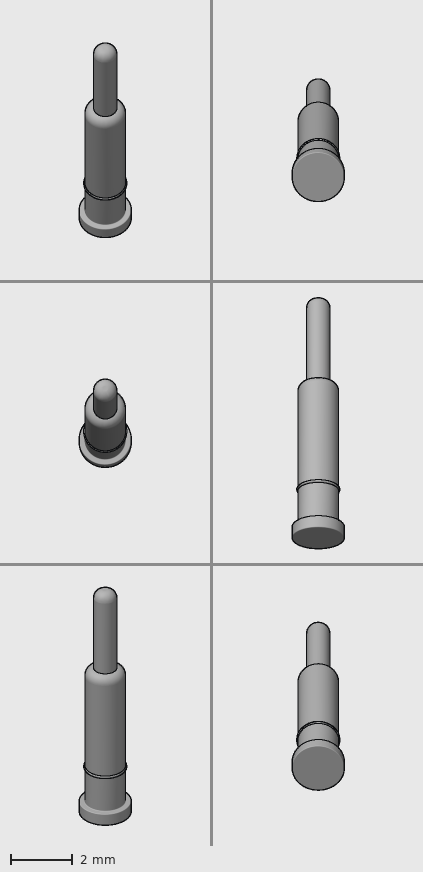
import cadquery as cq

total_height = 8.48

flange_diameter = 1.7
flange_height = 0.42
flange_edge_radius = 0.025
foot_radius = 0.025
barrel_diameter = 1.32
shoulder_height = 5.51
rounding_radius = 0.3
bead_height = 1.73
bead_diameter = 1.4
bead_section_radius = 0.05

plunger_diameter = 0.76
bore_floor = flange_height

tolerance = 0.001


def is_foot_edge(edge):
    at_flange_top = abs(edge.Center().z - flange_height) < tolerance
    return at_flange_top and abs(edge.radius() - barrel_diameter / 2) < tolerance


def make_housing():
    flange = cq.Workplane("XY").circle(flange_diameter / 2).extrude(flange_height)
    flange = flange.edges().fillet(flange_edge_radius)

    barrel = cq.Workplane("XY").circle(barrel_diameter / 2).extrude(shoulder_height)
    barrel = barrel.faces(">Z").edges().fillet(rounding_radius)

    bead_center_radius = bead_diameter / 2 - bead_section_radius
    bead = cq.Workplane("XY").add(
        cq.Solid.makeTorus(bead_center_radius, bead_section_radius, cq.Vector(0, 0, bead_height))
    )

    bore = (
        cq.Workplane("XY")
        .workplane(offset=bore_floor)
        .circle(plunger_diameter / 2)
        .extrude(shoulder_height - bore_floor)
    )
    body = flange.union(barrel)
    body = body.edges("%CIRCLE").filter(is_foot_edge).fillet(foot_radius)
    return body.union(bead).cut(bore)


def make_plunger():
    plunger = (
        cq.Workplane("XY")
        .workplane(offset=bore_floor)
        .circle(plunger_diameter / 2)
        .extrude(total_height - bore_floor)
    )
    return plunger.faces(">Z").edges().fillet(rounding_radius)


housing = make_housing()
plunger = make_plunger()

result = cq.Compound.makeCompound([housing.val(), plunger.val()])